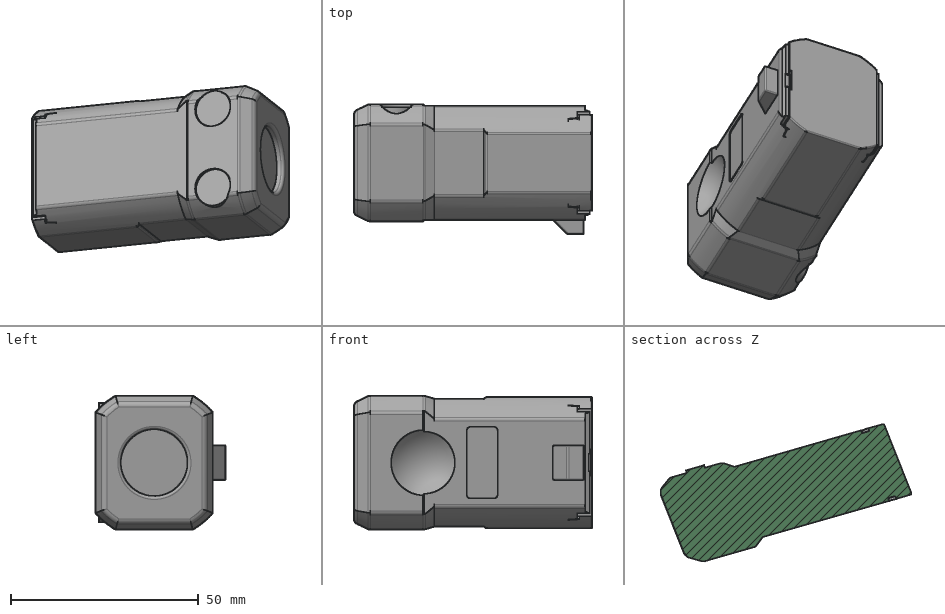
import cadquery as cq
import math

TOTAL_LENGTH = 63.5
OVERLAP = 1.0

HEAD_HALF_Y = 15.65
HEAD_HALF_Z = 17.845
HEAD_RADIUS = 20.6
HEAD_END_X = 18.75
SIDE_STEP_START_X = 18.4
NOSE_CHAMFER_LENGTH = 4.05
NOSE_CHAMFER_DEPTH = 1.95
NOSE_FILLET = 1.6
EDGE_FILLET = 1.5

BODY_START_X = 21.45
BODY_HALF_Y = 15.23
BODY_HALF_Z = 17.06
BODY_RADIUS = 19.18
THICK_HALF_Z = 17.49
THICK_RAMP_START_X = 34.65
THICK_RAMP_END_X = 35.25
RAMP_FILLET = 1.0
END_FILLET = 0.35

SHOULDER_X = 61.6
SHOULDER_FILLET = 0.15
SHOULDER_HALF_Y = 14.1
LIP_X = 62.9
LIP_HALF_Y = 13.6
CORE_HALF_Y = 12.75

SLOT_START_X = 59.55
SLOT_GAP = 0.45
SLOT_BOTTOM_Z = 13.5
SLOT_TOP_Z = 14.3
SLIT_Z = 15.15
SLIT_WIDTH = 0.15
SLIT_DROP = 0.2
SLIT_START_X = 57.1
SLIT_INNER_Y = 10.8

NOTCH_STEPS = ((63.1, 3.5, 0.6), (62.6, 2.35, 0.3))

WINDOW_DIAMETER = 17.78
WINDOW_DEPTH = 2.0
WINDOW_RIM_FILLET = 0.85

DIMPLE_X = 18.65
DIMPLE_RIM_RADIUS = 8.7
DIMPLE_SPHERE_RADIUS = 12.0

LABEL_X = 34.2
LABEL_LENGTH = 8.2
LABEL_HEIGHT = 19.0
LABEL_CORNER = 0.9
LABEL_DEPTH = 0.25

CATCH_TIP_Y = -19.02
CATCH_START_X = 53.05
CATCH_END_X = 61.25
CATCH_HALF_WIDTH = 4.65
CATCH_FILLET = 0.35
CATCH_RAMP_FILLET = 1.0

SEAT_X = 11.35
SEAT_Z = 10.9
SEAT_RADIUS = 5.0
SEAT_Y = 14.75
SEAT_ROOT_Y = 10.0


def nose_points(half_size):
    """Front part of a half-outline: from the axis, across the front face and up the chamfer."""
    return [(0, 0), (0, half_size - NOSE_CHAMFER_DEPTH), (NOSE_CHAMFER_LENGTH, half_size)]


def mirrored_prism(plane, half_outline, half_depth):
    """Prism whose outline is the half-outline and its mirror image about the X axis."""
    mirror_half = [(x, -height) for x, height in reversed(half_outline) if height > 0]
    outline = cq.Workplane(plane).polyline(half_outline[1:] + mirror_half).close()
    return outline.extrude(half_depth, both=True)


def near_x(x):
    """Selector for edges whose centre lies at a given X."""
    reach = 2 * HEAD_RADIUS
    half_band = 0.01
    return cq.selectors.BoxSelector((x - half_band, -reach, -reach), (x + half_band, reach, reach))


def round_nose(solid, edge_filter):
    """Round the front edges, then the outer edges of the nose chamfer."""
    solid = solid.faces("<X").edges(edge_filter).fillet(NOSE_FILLET)
    return solid.edges(edge_filter).edges(near_x(NOSE_CHAMFER_LENGTH)).fillet(EDGE_FILLET)


def block(x_range, y_range, z_range):
    """Box given by its limits along each axis."""
    limits = (x_range, y_range, z_range)
    sizes = [high - low for low, high in limits]
    lows = tuple(low for low, high in limits)
    return cq.Workplane("XY").box(*sizes, centered=False).translate(lows)


def rounding_setback(radius, rise, run):
    """Distance along X from a corner to where its rounding meets the straight side."""
    return radius * math.tan(math.atan2(rise, run) / 2)


def round_long_edges(shell):
    """Round the edges along X where the sides run straight; the nose and the taper stay sharp."""
    nose_setback = rounding_setback(EDGE_FILLET, NOSE_CHAMFER_DEPTH, NOSE_CHAMFER_LENGTH)
    taper_setback = rounding_setback(EDGE_FILLET, HEAD_RADIUS - BODY_RADIUS, BODY_START_X - HEAD_END_X)
    ramp_rise = THICK_HALF_Z - BODY_HALF_Z
    ramp_run = THICK_RAMP_END_X - THICK_RAMP_START_X
    ramp_setback = rounding_setback(RAMP_FILLET, ramp_rise, ramp_run)
    z_faces = "<Z or >Z"
    y_faces = "<Y or >Y"
    head_stretch = (NOSE_CHAMFER_LENGTH + nose_setback, HEAD_END_X - taper_setback)
    body_end_x = TOTAL_LENGTH - END_FILLET
    stretches = (
        (head_stretch, z_faces),
        (head_stretch, y_faces),
        ((BODY_START_X, THICK_RAMP_START_X), z_faces),
        ((THICK_RAMP_END_X + ramp_setback, body_end_x), z_faces),
        ((BODY_START_X, body_end_x), y_faces),
    )
    across = (-HEAD_RADIUS, HEAD_RADIUS)
    for stretch, faces in stretches:
        slab = block(stretch, across, across)
        rounded = shell.intersect(slab).faces(faces).edges("|X").fillet(EDGE_FILLET)
        shell = shell.cut(slab).union(rounded)
    return shell


def make_shell():
    """Head and body: the common volume of a side prism, a top prism and a turned envelope."""
    side_outline = nose_points(HEAD_HALF_Z) + [
        (HEAD_END_X, HEAD_HALF_Z),
        (BODY_START_X, BODY_HALF_Z),
        (THICK_RAMP_START_X, BODY_HALF_Z),
        (THICK_RAMP_END_X, THICK_HALF_Z),
        (TOTAL_LENGTH, THICK_HALF_Z),
    ]
    side_prism = round_nose(mirrored_prism("XZ", side_outline, HEAD_RADIUS), "|Y")
    for x, radius in ((HEAD_END_X, EDGE_FILLET), (THICK_RAMP_END_X, RAMP_FILLET)):
        side_prism = side_prism.edges("|Y").edges(near_x(x)).fillet(radius)
    side_prism = side_prism.faces(">X").edges("|Y").fillet(END_FILLET)

    step_end_x = SIDE_STEP_START_X + HEAD_HALF_Y - BODY_HALF_Y
    top_outline = nose_points(HEAD_HALF_Y) + [
        (SIDE_STEP_START_X, HEAD_HALF_Y),
        (step_end_x, BODY_HALF_Y),
        (TOTAL_LENGTH, BODY_HALF_Y),
    ]
    top_prism = round_nose(mirrored_prism("XY", top_outline, HEAD_RADIUS), "|Z")

    turned_outline = nose_points(HEAD_RADIUS) + [
        (HEAD_END_X, HEAD_RADIUS),
        (BODY_START_X, BODY_RADIUS),
        (TOTAL_LENGTH, BODY_RADIUS),
        (TOTAL_LENGTH, 0),
    ]
    envelope = cq.Workplane("XY").polyline(turned_outline).close().revolve(360, (0, 0, 0), (1, 0, 0))
    envelope = round_nose(envelope, "%CIRCLE")
    envelope = envelope.edges("%CIRCLE").edges(near_x(HEAD_END_X)).fillet(EDGE_FILLET)
    envelope = envelope.faces(">X").edges().fillet(END_FILLET)

    shell = side_prism.intersect(top_prism).intersect(envelope)
    return round_long_edges(shell)


def make_rear_step():
    """Material removed outside the stepped rear end on the +Y side."""
    outer_y = HEAD_HALF_Y + OVERLAP
    outline = (
        cq.Workplane("XY")
        .moveTo(SHOULDER_X - SHOULDER_FILLET, outer_y)
        .lineTo(SHOULDER_X - SHOULDER_FILLET, BODY_HALF_Y)
        .radiusArc((SHOULDER_X, BODY_HALF_Y - SHOULDER_FILLET), SHOULDER_FILLET)
        .lineTo(SHOULDER_X, SHOULDER_HALF_Y)
        .lineTo(LIP_X, LIP_HALF_Y)
        .lineTo(LIP_X, CORE_HALF_Y)
        .lineTo(TOTAL_LENGTH + OVERLAP, CORE_HALF_Y)
        .lineTo(TOTAL_LENGTH + OVERLAP, outer_y)
        .close()
    )
    return outline.extrude(HEAD_RADIUS, both=True)


def make_corner_slot():
    """Slot and thin slit at the rear corner on the +Y, +Z side."""
    outer_y = HEAD_HALF_Y + OVERLAP
    gap_end_x = SLOT_START_X + SLOT_GAP
    slit_end_z = SLIT_Z - SLIT_DROP
    slot = block(
        (SLOT_START_X, TOTAL_LENGTH + OVERLAP), (CORE_HALF_Y, outer_y), (SLOT_BOTTOM_Z, SLOT_TOP_Z)
    )
    gap = block((SLOT_START_X, gap_end_x), (0, outer_y), (SLOT_TOP_Z, slit_end_z))
    slit_outline = [
        (SLIT_START_X, SLIT_Z),
        (SLIT_START_X, SLIT_Z + SLIT_WIDTH),
        (gap_end_x, slit_end_z + SLIT_WIDTH),
        (gap_end_x, slit_end_z),
    ]
    slit = cq.Workplane("XZ", origin=(0, outer_y, 0)).polyline(slit_outline).close()
    return slot.union(gap).union(slit.extrude(outer_y - SLIT_INNER_Y))


def cut_rear_end(solid):
    """Step both Y sides and slot all four rear corners."""
    step = make_rear_step()
    solid = solid.cut(step).cut(step.mirror("XZ"))
    upper_slots = make_corner_slot()
    upper_slots = upper_slots.union(upper_slots.mirror("XZ"))
    return solid.cut(upper_slots).cut(upper_slots.mirror("XY"))


def cut_latch_notch(solid):
    """Two-step notch in the rear edge of the -Y side."""
    for start_x, half_width, depth in NOTCH_STEPS:
        solid = solid.cut(
            block(
                (start_x, TOTAL_LENGTH + OVERLAP),
                (-HEAD_HALF_Y, depth - CORE_HALF_Y),
                (-half_width, half_width),
            )
        )
    return solid


def cut_window(solid):
    """Round recess with a rounded rim in the front face."""
    solid = solid.cut(cq.Workplane("YZ").circle(WINDOW_DIAMETER / 2).extrude(WINDOW_DEPTH))
    return solid.faces("<X").edges("%CIRCLE").fillet(WINDOW_RIM_FILLET)


def cut_dimple(solid):
    """Spherical thumb dimple across the step on the -Y side."""
    centre_offset = math.sqrt(DIMPLE_SPHERE_RADIUS**2 - DIMPLE_RIM_RADIUS**2)
    centre = (DIMPLE_X, -HEAD_HALF_Y - centre_offset, 0)
    return solid.cut(cq.Workplane("XY").sphere(DIMPLE_SPHERE_RADIUS).translate(centre))


def cut_label_panel(solid):
    """Shallow rounded rectangle on the -Y side."""
    panel = (
        cq.Workplane("XZ", origin=(LABEL_X, LABEL_DEPTH - BODY_HALF_Y, 0))
        .rect(LABEL_LENGTH, LABEL_HEIGHT)
        .extrude(LABEL_DEPTH + OVERLAP)
        .edges("|Y")
        .fillet(LABEL_CORNER)
    )
    return solid.cut(panel)


def make_catch():
    """Wedge with a 45 degree front ramp, rooted in the -Y side."""
    root_y = OVERLAP - BODY_HALF_Y
    ramp_rise = root_y - CATCH_TIP_Y
    outline = [
        (CATCH_START_X - OVERLAP, root_y),
        (CATCH_START_X - OVERLAP + ramp_rise, CATCH_TIP_Y),
        (CATCH_END_X, CATCH_TIP_Y),
        (CATCH_END_X, root_y),
    ]
    catch = cq.Workplane("XY").polyline(outline).close().extrude(CATCH_HALF_WIDTH, both=True)
    catch = catch.faces(">X").edges("|Y").fillet(CATCH_FILLET)
    catch = catch.faces("<Y").edges("<X").fillet(CATCH_RAMP_FILLET)
    return catch.faces("<Y").edges().fillet(CATCH_FILLET)


def seat_disc(z, start_y, end_y):
    """Disc along Y at one seat position."""
    circle = cq.Workplane("XZ", origin=(SEAT_X, end_y, z)).circle(SEAT_RADIUS)
    return circle.extrude(end_y - start_y)


def add_seats(solid):
    """Round flat seats on the +Y side, sunk in the head and overhanging its curved corners."""
    for z in (-SEAT_Z, SEAT_Z):
        seat = seat_disc(z, SEAT_ROOT_Y, SEAT_Y)
        clearance = seat_disc(z, SEAT_Y, HEAD_HALF_Y + OVERLAP)
        solid = solid.union(seat).cut(clearance)
    return solid


result = make_shell()
result = cut_rear_end(result)
result = cut_latch_notch(result)
result = cut_window(result)
result = cut_dimple(result)
result = cut_label_panel(result)
result = result.union(make_catch())
result = add_seats(result)
result = cq.Workplane("XY").newObject([result.solids().val()])